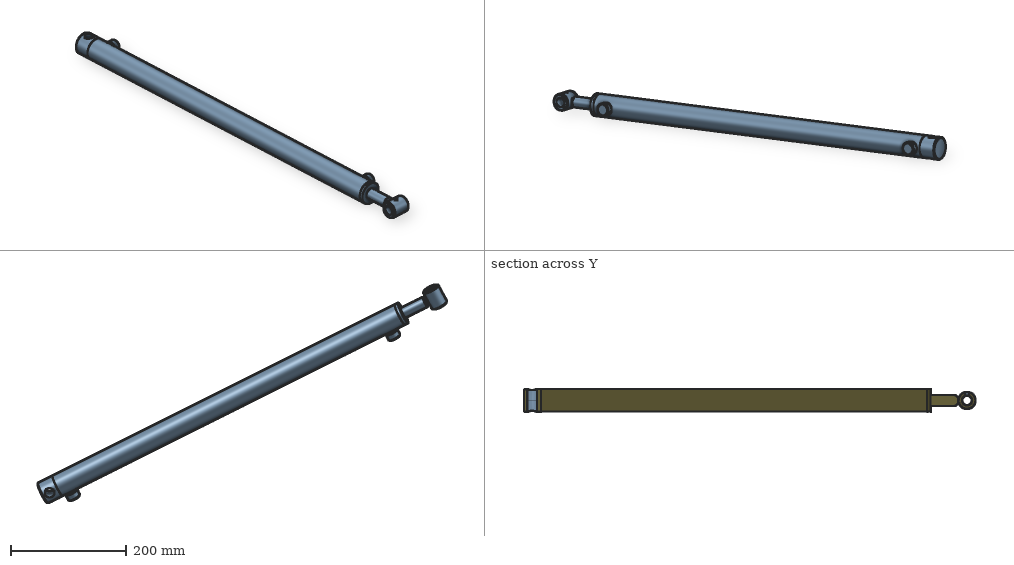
import cadquery as cq

overall_length = 784.0
barrel_diameter = 40.0
barrel_end_x = 700.0
gland_end_x = 706.0

cap_length = 30.0
cap_edge_chamfer = 1.5
cap_pin_hole_x = 14.0
pin_hole_diameter = 16.5

rod_diameter = 19.5
rod_chamfer = 4.0
rod_chamfer_start_x = 749.5

eye_diameter = 30.0
eye_width = 35.0
eye_edge_chamfer = 1.5
grease_hole_diameter = 5.5

port_diameter = 23.0
port_height = 13.0
port_edge_chamfer = 1.5
port_positions_x = (45.5, 673.0)

barrel_radius = barrel_diameter / 2
eye_radius = eye_diameter / 2
eye_center_x = overall_length - eye_radius


def x_cylinder(start_x, end_x, diameter):
    """Solid cylinder about the X axis between two stations."""
    return cq.Workplane("YZ", origin=(start_x, 0, 0)).circle(diameter / 2).extrude(end_x - start_x)


def y_cylinder(center_x, start_y, end_y, diameter):
    """Solid cylinder parallel to the Y axis, centred on Z = 0."""
    plane = cq.Plane(origin=(center_x, start_y, 0), xDir=(1, 0, 0), normal=(0, 1, 0))
    return cq.Workplane(plane).circle(diameter / 2).extrude(end_y - start_y)


def make_cap():
    """Closed end with a chamfered outer rim and a vertical cross hole for the mounting pin."""
    cap = x_cylinder(0, cap_length, barrel_diameter).faces("<X").chamfer(cap_edge_chamfer)
    pin_hole = (
        cq.Workplane("XY")
        .center(cap_pin_hole_x, 0)
        .circle(pin_hole_diameter / 2)
        .extrude(barrel_radius, both=True)
    )
    return cap.cut(pin_hole)


def make_barrel():
    """Main cylindrical body between the cap and the gland."""
    return x_cylinder(cap_length, barrel_end_x, barrel_diameter)


def make_gland():
    """Disc-shaped head at the rod end of the barrel."""
    return x_cylinder(barrel_end_x, gland_end_x, barrel_diameter)


def make_eye_blank():
    """Eye bushing before any hole is made in it."""
    blank = y_cylinder(eye_center_x, -eye_width / 2, eye_width / 2, eye_diameter)
    return blank.faces("<Y or >Y").chamfer(eye_edge_chamfer)


def make_eye(blank):
    """Eye with a pin hole along Y and a grease hole from the top into the pin hole."""
    pin_hole = y_cylinder(eye_center_x, -eye_width / 2, eye_width / 2, pin_hole_diameter)
    grease_hole = (
        cq.Workplane("XY").center(eye_center_x, 0).circle(grease_hole_diameter / 2).extrude(eye_radius)
    )
    return blank.cut(pin_hole).cut(grease_hole)


def make_rod(eye_blank):
    """Rod with a chamfered end and a thinner tip that is coped to sit against the eye."""
    chamfer_end_x = rod_chamfer_start_x + rod_chamfer
    shank = x_cylinder(gland_end_x, chamfer_end_x, rod_diameter).faces(">X").chamfer(rod_chamfer)
    tip = x_cylinder(chamfer_end_x, eye_center_x, rod_diameter - 2 * rod_chamfer)
    return shank.union(tip).cut(eye_blank)


def make_port(center_x):
    """Port boss that stands on the back of the barrel."""
    boss = y_cylinder(center_x, barrel_radius, barrel_radius + port_height, port_diameter)
    return boss.faces("<Y or >Y").chamfer(port_edge_chamfer)


cap = make_cap()
barrel = make_barrel()
gland = make_gland()
eye_blank = make_eye_blank()
eye = make_eye(eye_blank)
rod = make_rod(eye_blank)
ports = [make_port(port_x) for port_x in port_positions_x]

bodies = [cap, barrel, gland, rod, eye, *ports]
result = cq.Compound.makeCompound([body.solids().val() for body in bodies])